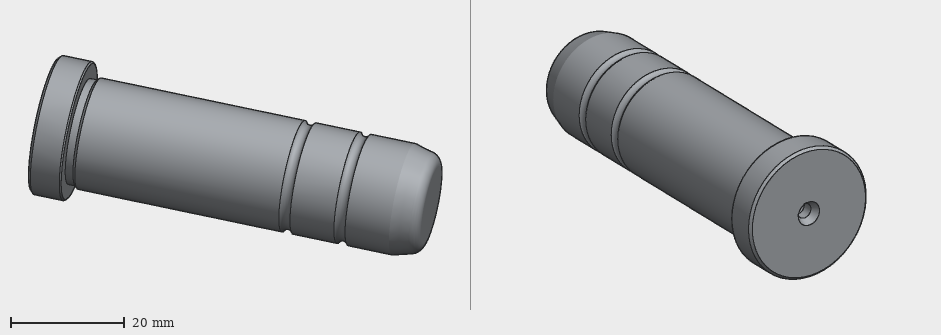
import cadquery as cq
import math

length = 70.0

head_radius = 12.495
head_length = 6.0
front_chamfer = 0.5
rear_chamfer = 0.3

neck_radius = 9.5
neck_end = 7.4

shank_radius = 10.0
groove_centers = (46.0, 56.0)
groove_width = 2.0
groove_depth = 0.6

nose_start = 65.0
nose_angle = math.radians(15)
nose_round = 2.25

center_mouth_radius = 2.25
center_drill_radius = 1.4
center_drill_depth = 3.5
countersink_half_angle = math.radians(30)
drill_tip_half_angle = math.radians(60)


def revolve_about_x(profile):
    return profile.close().revolve(360, (0, 0, 0), (1, 0, 0))


def make_body():
    shank_step = shank_radius - neck_radius
    nose_end_radius = shank_radius - (length - nose_start) * math.tan(nose_angle)
    return revolve_about_x(
        cq.Workplane("XY")
        .moveTo(0, 0)
        .lineTo(0, head_radius - front_chamfer)
        .lineTo(front_chamfer, head_radius)
        .lineTo(head_length - rear_chamfer, head_radius)
        .lineTo(head_length, head_radius - rear_chamfer)
        .lineTo(head_length, neck_radius)
        .lineTo(neck_end, neck_radius)
        .lineTo(neck_end + shank_step, shank_radius)
        .lineTo(nose_start, shank_radius)
        .lineTo(length, nose_end_radius)
        .lineTo(length, 0)
    ).faces(">X").edges().fillet(nose_round)


def make_groove_cutter(center):
    half_width = groove_width / 2
    arc_radius = (half_width**2 + groove_depth**2) / (2 * groove_depth)
    arc_center = shank_radius - groove_depth + arc_radius
    return revolve_about_x(
        cq.Workplane("XY")
        .moveTo(center - arc_radius, arc_center)
        .threePointArc((center, arc_center - arc_radius), (center + arc_radius, arc_center))
    )


def make_center_hole():
    countersink_depth = (center_mouth_radius - center_drill_radius) / math.tan(countersink_half_angle)
    tip_depth = center_drill_radius / math.tan(drill_tip_half_angle)
    return revolve_about_x(
        cq.Workplane("XY")
        .moveTo(0, 0)
        .lineTo(0, center_mouth_radius)
        .lineTo(countersink_depth, center_drill_radius)
        .lineTo(center_drill_depth, center_drill_radius)
        .lineTo(center_drill_depth + tip_depth, 0)
    )


result = make_body().cut(make_center_hole())
for groove_center in groove_centers:
    result = result.cut(make_groove_cutter(groove_center))